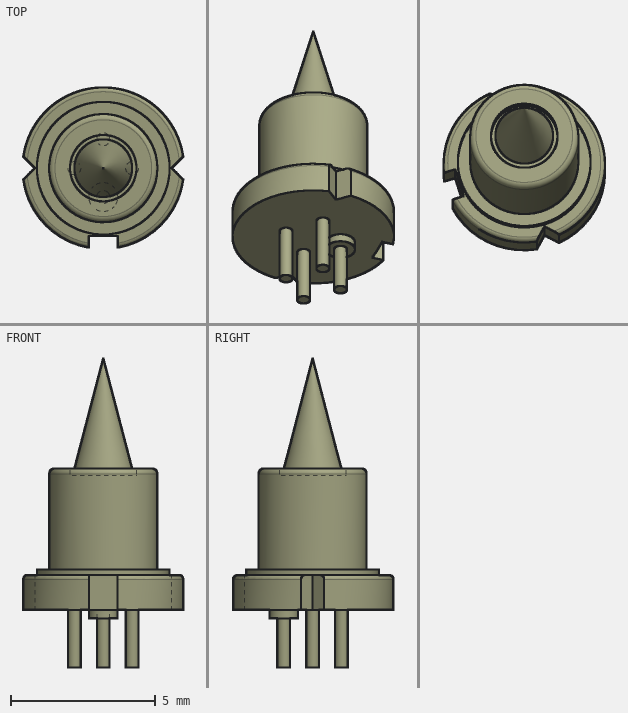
import cadquery as cq

header_diameter = 5.6
header_height = 1.2
header_edge_radius = 0.15
slot_width = 1.0
slot_floor_distance = 2.35
v_notch_tip_distance = 2.37

pin_diameter = 0.45
pin_length = 2.0
pin_circle_radius = 1.0
collar_diameter = 1.0
collar_height = 0.3

flange_diameter = 4.6
flange_height = 0.2
can_diameter = 3.75
can_height = 3.5
can_edge_radius = 0.2
window_diameter = 2.3
window_depth = 0.25

overall_height = 10.7
beam_base_diameter = 2.0
beam_tip_diameter = 0.01

flange_top = header_height + flange_height
can_top = flange_top + can_height
window_floor = can_top - window_depth
beam_tip = overall_height - pin_length


def cylinder(diameter, bottom, height, x=0, y=0):
    """Upright cylinder whose lower face is centred on (x, y, bottom)."""
    return cq.Workplane("XY", origin=(x, y, bottom)).circle(diameter / 2).extrude(height)


def front_slot():
    """Square-floored cutter that opens the -Y edge of the header."""
    rim = header_diameter / 2
    slot_center = -(slot_floor_distance + rim) / 2
    slot_depth = rim - slot_floor_distance
    return cq.Workplane("XY").center(0, slot_center).rect(slot_width, slot_depth).extrude(header_height)


def side_notch(side):
    """90-degree V cutter on the +X (side = 1) or -X (side = -1) edge of the header."""
    rim = header_diameter / 2
    half_width = rim - v_notch_tip_distance
    tip = (side * v_notch_tip_distance, 0)
    corners = [tip, (side * rim, half_width), (side * rim, -half_width)]
    return cq.Workplane("XY").polyline(corners).close().extrude(header_height)


def make_header():
    header = cylinder(header_diameter, 0, header_height).faces(">Z").edges().fillet(header_edge_radius)
    header = header.cut(front_slot())
    for side in (-1, 1):
        header = header.cut(side_notch(side))
    for direction_x, direction_y in [(1, 0), (0, 1), (-1, 0), (0, -1)]:
        x = direction_x * pin_circle_radius
        y = direction_y * pin_circle_radius
        header = header.union(cylinder(pin_diameter, -pin_length, pin_length, x, y))
    return header.union(cylinder(collar_diameter, -collar_height, collar_height, 0, -pin_circle_radius))


def make_cap():
    can = cylinder(can_diameter, flange_top, can_height).faces(">Z").edges().fillet(can_edge_radius)
    flange = cylinder(flange_diameter, header_height, flange_height)
    window = cylinder(window_diameter, window_floor, window_depth)
    return flange.union(can).cut(window)


def make_beam():
    profile = [
        (0, can_top),
        (beam_base_diameter / 2, can_top),
        (beam_tip_diameter / 2, beam_tip),
        (0, beam_tip),
    ]
    return cq.Workplane("XZ").polyline(profile).close().revolve(360, (0, 0, 0), (0, 1, 0))


header = make_header()
cap = make_cap()
beam = make_beam()

result = cq.Compound.makeCompound([header.val(), cap.val(), beam.val()])